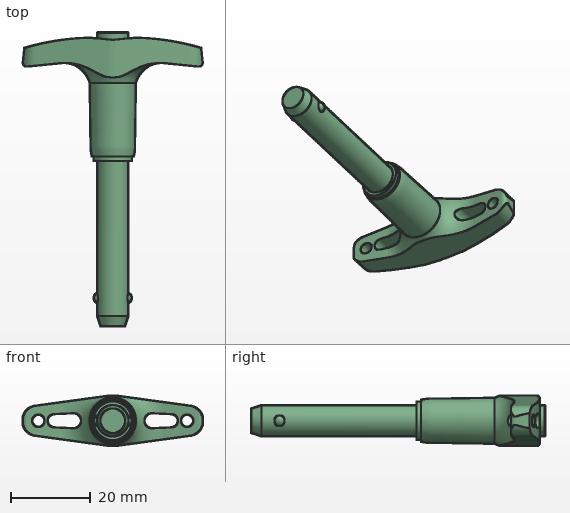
import cadquery as cq
import math

overall_length = 73.65

pin_diameter = 7.9
pin_radius = pin_diameter / 2
tip_radius = 3.1
tip_taper_length = 2.6
ball_radius = 1.4
ball_reach = 4.8
ball_y = 7.1
button_chamfer = 0.2

collar_radius = 4.85
collar_start_y = 41.4
shank_start_y = 42.6
shoulder_y = 44.8
neck_band_y = 60.1
neck_y = 61.0
shank_end_radius = 5.3
shank_bulge_radius = 5.5
shoulder_radius = 5.6
neck_radius = 5.8

grip_half_span = 22.7
grip_half_height = 6.3
grip_center_flat = 0.8
grip_end_radius = 3.8

crown_x = 5.9
crown_y = 72.3
dip_y = 71.75
crown_mid_x = 14.0
crown_mid_y = 71.6
end_top_x = 22.2
end_top_y = 69.75
end_bottom_y = 64.9
end_corner_radius = 1.0
flare_mid_radius = 8.0
flare_mid_y = 64.4
flare_radius = 12.5
flare_y = 65.9
flare_top_y = 67.8

hole_x = 18.6
hole_diameter = 3.0
hole_radius = hole_diameter / 2
slot_inner_x = 9.8
slot_inner_radius = 1.85
slot_outer_x = 14.65
slot_outer_radius = 1.6

grip_base_y = 58.9
grip_depth = overall_length - grip_base_y


def along_pin():
    """XZ workplane whose extrusions run toward +Y; its local X axis is -X."""
    return cq.Workplane(cq.Plane((0, grip_base_y, 0), (-1, 0, 0), (0, 1, 0)))


def make_pin():
    """Tapered tip, straight pin and the release button on the same radius."""
    profile = (
        cq.Workplane("XY")
        .lineTo(tip_radius, 0)
        .lineTo(pin_radius, tip_taper_length)
        .lineTo(pin_radius, overall_length - button_chamfer)
        .lineTo(pin_radius - button_chamfer, overall_length)
        .lineTo(0, overall_length)
        .close()
    )
    pin = profile.revolve(360, (0, 0, 0), (0, 1, 0))
    for side in (-1, 1):
        ball_x = side * (ball_reach - ball_radius)
        pin = pin.union(cq.Workplane("XY").sphere(ball_radius).translate((ball_x, ball_y, 0)))
    return pin


def make_shank():
    """Collar, rounded shoulder and tapered shank below the neck."""
    bulge_y = (shank_start_y + shoulder_y) / 2
    profile = (
        cq.Workplane("XY")
        .moveTo(0, collar_start_y)
        .lineTo(collar_radius, collar_start_y)
        .lineTo(collar_radius, shank_start_y)
        .lineTo(shank_end_radius, shank_start_y)
        .threePointArc((shank_bulge_radius, bulge_y), (shoulder_radius, shoulder_y))
        .lineTo(neck_radius, neck_band_y)
        .lineTo(neck_radius, neck_y)
        .lineTo(0, neck_y)
        .close()
    )
    return profile.revolve(360, (0, 0, 0), (0, 1, 0))


def make_grip_prism():
    """Tapering outline with round ends, extruded along the pin axis."""
    end_x = grip_half_span - grip_end_radius
    run = end_x - grip_center_flat
    distance = math.hypot(run, grip_half_height)
    tangent_angle = math.acos(grip_end_radius / distance)
    normal_angle = math.pi - math.atan2(grip_half_height, run) - tangent_angle
    tangent_x = end_x + grip_end_radius * math.cos(normal_angle)
    tangent_z = grip_end_radius * math.sin(normal_angle)
    outline = (
        along_pin()
        .moveTo(-grip_center_flat, grip_half_height)
        .lineTo(grip_center_flat, grip_half_height)
        .lineTo(tangent_x, tangent_z)
        .threePointArc((grip_half_span, 0), (tangent_x, -tangent_z))
        .lineTo(grip_center_flat, -grip_half_height)
        .lineTo(-grip_center_flat, -grip_half_height)
        .lineTo(-tangent_x, -tangent_z)
        .threePointArc((-grip_half_span, 0), (-tangent_x, tangent_z))
        .close()
    )
    return outline.extrude(grip_depth)


def make_flare():
    """Concave flare of revolution joining the shank to the grip."""
    profile = (
        cq.Workplane("XY")
        .moveTo(0, neck_y)
        .lineTo(neck_radius, neck_y)
        .threePointArc((flare_mid_radius, flare_mid_y), (flare_radius, flare_y))
        .lineTo(flare_radius, flare_top_y)
        .lineTo(0, flare_top_y)
        .close()
    )
    return profile.revolve(360, (0, 0, 0), (0, 1, 0))


def make_wing():
    """Side profile of the grip: dipped crown, leaning ends, sloping underside."""
    profile = (
        cq.Workplane("XY")
        .moveTo(0, dip_y)
        .lineTo(crown_x, crown_y)
        .threePointArc((crown_mid_x, crown_mid_y), (end_top_x, end_top_y))
        .lineTo(grip_half_span, end_bottom_y)
        .lineTo(flare_radius, flare_y)
        .lineTo(0, flare_y)
        .close()
    )
    half = profile.extrude(grip_half_height, both=True)
    lower_corner = cq.selectors.NearestToPointSelector((grip_half_span, end_bottom_y, 0))
    half = half.edges(lower_corner).fillet(end_corner_radius)
    return half.union(half.mirror("YZ"))


def make_openings(side):
    """Lanyard hole and tapered slot through one side of the grip."""
    hole = along_pin().center(side * hole_x, 0).circle(hole_radius).extrude(grip_depth)
    lean = (slot_inner_radius - slot_outer_radius) / (slot_outer_x - slot_inner_x)
    rise = math.sqrt(1 - lean**2)
    inner_x = side * (slot_inner_x + slot_inner_radius * lean)
    inner_z = slot_inner_radius * rise
    outer_x = side * (slot_outer_x + slot_outer_radius * lean)
    outer_z = slot_outer_radius * rise
    slot = (
        along_pin()
        .moveTo(inner_x, inner_z)
        .lineTo(outer_x, outer_z)
        .threePointArc((side * (slot_outer_x + slot_outer_radius), 0), (outer_x, -outer_z))
        .lineTo(inner_x, -inner_z)
        .threePointArc((side * (slot_inner_x - slot_inner_radius), 0), (inner_x, inner_z))
        .close()
        .extrude(grip_depth)
    )
    return hole.union(slot)


grip = make_wing().union(make_flare()).intersect(make_grip_prism())
for side in (-1, 1):
    grip = grip.cut(make_openings(side))

result = make_pin().union(make_shank()).union(grip)